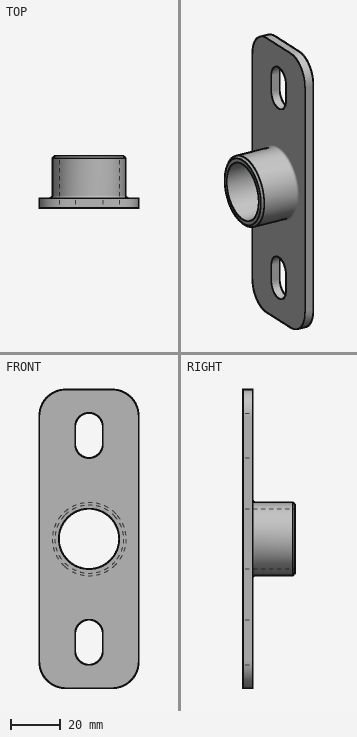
import cadquery as cq

plate_width = 40.0
plate_height = 120.0
plate_thickness = 4.0
corner_radius = 10.75

overall_depth = 21.0
boss_diameter = 29.5
bore_diameter = 24.12
rim_chamfer = 1.0
root_fillet_radius = 1.0

slot_width = 11.0
slot_length = 18.0
slot_spacing = 83.0


def on_front_face():
    """Workplane on the front face whose normal points along +Y."""
    return cq.Workplane("XZ").transformed(rotate=(180, 0, 0))


def make_plate():
    plate = on_front_face().rect(plate_width, plate_height).extrude(plate_thickness)
    return plate.edges("|Y").fillet(corner_radius)


def make_boss():
    """Boss revolved about Y, with a bevelled rim and a concave fillet at its root."""
    radius = boss_diameter / 2
    root_radius = radius + root_fillet_radius
    fillet_end = plate_thickness + root_fillet_radius
    profile = (
        cq.Workplane("XY")
        .lineTo(root_radius, 0)
        .lineTo(root_radius, plate_thickness)
        .radiusArc((radius, fillet_end), root_fillet_radius)
        .lineTo(radius, overall_depth - rim_chamfer)
        .lineTo(radius - rim_chamfer, overall_depth)
        .lineTo(0, overall_depth)
        .close()
    )
    return profile.revolve(360, (0, 0, 0), (0, 1, 0))


def make_bore():
    return on_front_face().circle(bore_diameter / 2).extrude(overall_depth)


def make_slots():
    centres = [(0, -slot_spacing / 2), (0, slot_spacing / 2)]
    slots = on_front_face().pushPoints(centres).slot2D(slot_length, slot_width, 90)
    return slots.extrude(plate_thickness)


result = make_plate().union(make_boss()).cut(make_bore()).cut(make_slots())